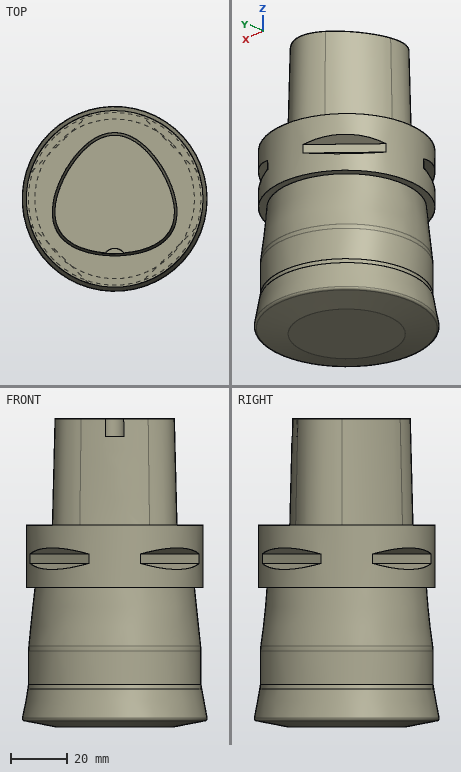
import cadquery as cq
import math

total_height = 110.0
shank_height = 38.0
flange_top = total_height - shank_height
flange_thickness = 22.3
flange_bottom = flange_top - flange_thickness
neck_bottom = 28.9
band_top = 27.2
housing_bottom = 13.6
cap_top = 15.2
cap_rim_height = 3.1

flange_radius = 63.0 / 2
neck_top_radius = 28.5
neck_bottom_radius = 30.7
band_radius = 30.8
cap_radius = 66.0 / 2
cap_rim_rounding = 0.9
cap_base_radius = 20.9

shank_base_mean_radius = 22.0
shank_taper = 1 / 40
shank_top_mean_radius = shank_base_mean_radius - shank_taper * shank_height
lobe_eccentricity = 1.6
shank_sides = 6
points_per_side = 7

notch_radius = 8.0 / 2
notch_depth = 6.4
notch_center_y = -21.7

groove_count = 4
groove_first_angle = 45
groove_floor_distance = 27.8
groove_floor_height = 3.3
groove_mouth_height = 7.7
groove_drop = 12.0
groove_length = 2 * flange_radius


def lobe_point(angle, mean_radius, z):
    """Point of the hypotrochoid; angle 0 is the middle of the flat side at -Y."""
    x = mean_radius * math.sin(angle) + lobe_eccentricity * math.sin(2 * angle)
    y = -mean_radius * math.cos(angle) + lobe_eccentricity * math.cos(2 * angle)
    return cq.Vector(x, y, z)


def lobe_tangent(angle, mean_radius):
    """Derivative of the hypotrochoid with respect to its angle."""
    x = mean_radius * math.cos(angle) + 2 * lobe_eccentricity * math.cos(2 * angle)
    y = mean_radius * math.sin(angle) - 2 * lobe_eccentricity * math.sin(2 * angle)
    return cq.Vector(x, y, 0)


def lobe_wire(mean_radius, z):
    """Closed three-lobed outline made of one smooth curve per side."""
    side_angle = 2 * math.pi / shank_sides
    edges = []
    for side in range(shank_sides):
        start = (side - 0.5) * side_angle
        end = start + side_angle
        step = side_angle / (points_per_side - 1)
        points = [lobe_point(start + i * step, mean_radius, z) for i in range(points_per_side)]
        tangents = [lobe_tangent(start, mean_radius), lobe_tangent(end, mean_radius)]
        edges.append(cq.Edge.makeSpline(points, tangents=tangents))
    return cq.Wire.assembleEdges(edges)


def make_shank():
    base = lobe_wire(shank_base_mean_radius, flange_top)
    top = lobe_wire(shank_top_mean_radius, total_height)
    return cq.Workplane(cq.Solid.makeLoft([base, top], True))


def make_notch():
    return (
        cq.Workplane("XY", origin=(0, notch_center_y, total_height - notch_depth))
        .circle(notch_radius)
        .extrude(notch_depth)
    )


def make_groove(angle):
    """Straight flat-floored groove with sloping sides, cut across the flange at an angle."""
    depth = flange_radius - groove_floor_distance
    side_slope = (groove_mouth_height - groove_floor_height) / 2 / depth
    outer_distance = flange_radius + depth
    half_floor = groove_floor_height / 2
    half_outer = half_floor + side_slope * (outer_distance - groove_floor_distance)
    return (
        cq.Workplane("XZ", origin=(0, 0, flange_top - groove_drop))
        .polyline([
            (groove_floor_distance, -half_floor),
            (outer_distance, -half_outer),
            (outer_distance, half_outer),
            (groove_floor_distance, half_floor),
        ])
        .close()
        .extrude(groove_length / 2, both=True)
        .rotate((0, 0, 0), (0, 0, 1), angle)
    )


def make_housing():
    """Flange, tapering neck and band, topped by the shank."""
    body = (
        cq.Workplane("XZ")
        .moveTo(0, housing_bottom)
        .lineTo(band_radius, housing_bottom)
        .lineTo(band_radius, band_top)
        .tangentArcPoint((neck_bottom_radius, neck_bottom), relative=False)
        .lineTo(neck_top_radius, flange_bottom)
        .lineTo(flange_radius, flange_bottom)
        .lineTo(flange_radius, flange_top)
        .lineTo(0, flange_top)
        .close()
        .revolve(360, (0, 0, 0), (0, 1, 0))
    )
    body = body.union(make_shank()).cut(make_notch())
    for i in range(groove_count):
        body = body.cut(make_groove(groove_first_angle + i * 360 / groove_count))
    return body


def tangent_point(center_x, center_z, radius, from_x, from_z, turn):
    """Point where a line from an outside point touches a circle; turn picks which side (+1 or -1)."""
    distance = math.hypot(from_x - center_x, from_z - center_z)
    toward = math.atan2(from_z - center_z, from_x - center_x)
    angle = toward - turn * math.acos(radius / distance)
    return (center_x + radius * math.cos(angle), center_z + radius * math.sin(angle))


def make_cap():
    """Flared end cap whose thin lip surrounds the bottom of the housing band."""
    arc_x = cap_radius - cap_rim_rounding
    arc_z = cap_rim_height
    flare_tangent = tangent_point(arc_x, arc_z, cap_rim_rounding, band_radius, cap_top, 1)
    base_tangent = tangent_point(arc_x, arc_z, cap_rim_rounding, cap_base_radius, 0, -1)
    return (
        cq.Workplane("XZ")
        .moveTo(0, 0)
        .lineTo(cap_base_radius, 0)
        .lineTo(*base_tangent)
        .threePointArc((cap_radius, arc_z), flare_tangent)
        .lineTo(band_radius, cap_top)
        .lineTo(band_radius, housing_bottom)
        .lineTo(0, housing_bottom)
        .close()
        .revolve(360, (0, 0, 0), (0, 1, 0))
    )


housing = make_housing()
cap = make_cap()

result = cq.Compound.makeCompound([housing.val(), cap.val()])